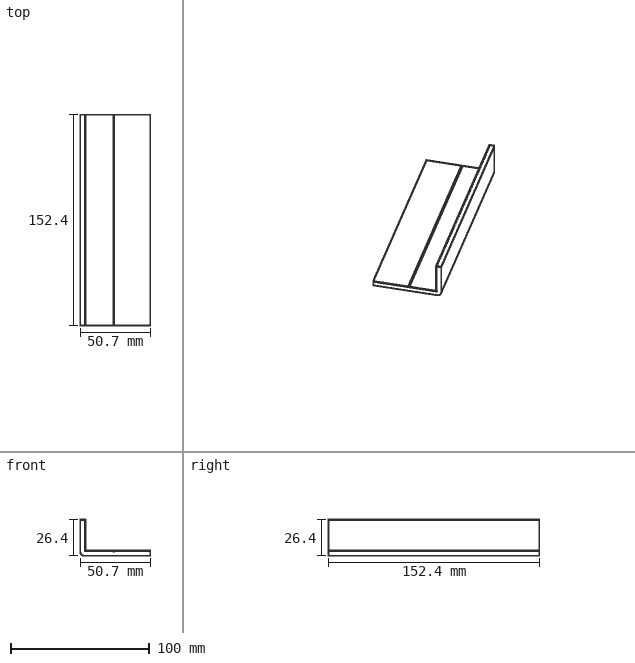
import cadquery as cq

WIDTH = 50.7
LENGTH = 152.4
HEIGHT = 26.4

ANGLE_THICKNESS = 3.2
LINER_THICKNESS = 0.81
BEND_RADIUS = 3.0
STRIP_GAP = 0.9
INNER_STRIP_END = 23.8

ANGLE_HEIGHT = HEIGHT - LINER_THICKNESS
LINER_FACE = ANGLE_THICKNESS + LINER_THICKNESS


def make_angle():
    """L-shaped angle with a rounded outer bend."""
    return (
        cq.Workplane("XZ")
        .moveTo(0, ANGLE_HEIGHT)
        .lineTo(0, BEND_RADIUS)
        .radiusArc((BEND_RADIUS, 0), -BEND_RADIUS)
        .lineTo(WIDTH, 0)
        .lineTo(WIDTH, ANGLE_THICKNESS)
        .lineTo(ANGLE_THICKNESS, ANGLE_THICKNESS)
        .lineTo(ANGLE_THICKNESS, ANGLE_HEIGHT)
        .close()
        .extrude(-LENGTH)
    )


def make_wall_liner():
    """Thin sheet on the inside of the wall, bent over its top edge."""
    return (
        cq.Workplane("XZ")
        .moveTo(0, ANGLE_HEIGHT)
        .lineTo(0, HEIGHT)
        .lineTo(ANGLE_THICKNESS, HEIGHT)
        .radiusArc((LINER_FACE, ANGLE_HEIGHT), LINER_THICKNESS)
        .lineTo(LINER_FACE, ANGLE_THICKNESS)
        .lineTo(ANGLE_THICKNESS, ANGLE_THICKNESS)
        .lineTo(ANGLE_THICKNESS, ANGLE_HEIGHT)
        .close()
        .extrude(-LENGTH)
    )


def make_floor_strip(start, end):
    """Thin flat strip lying on the floor of the angle between two X positions."""
    return (
        cq.Workplane("XY", origin=(start, 0, ANGLE_THICKNESS))
        .box(end - start, LENGTH, LINER_THICKNESS, centered=False)
    )


angle = make_angle()
wall_liner = make_wall_liner()

strip_spans = [
    (LINER_FACE, INNER_STRIP_END),
    (INNER_STRIP_END + STRIP_GAP, WIDTH),
]
floor_strips = [make_floor_strip(start, end) for start, end in strip_spans]

result = cq.Compound.makeCompound(
    [angle.val(), wall_liner.val(), *[strip.val() for strip in floor_strips]]
)